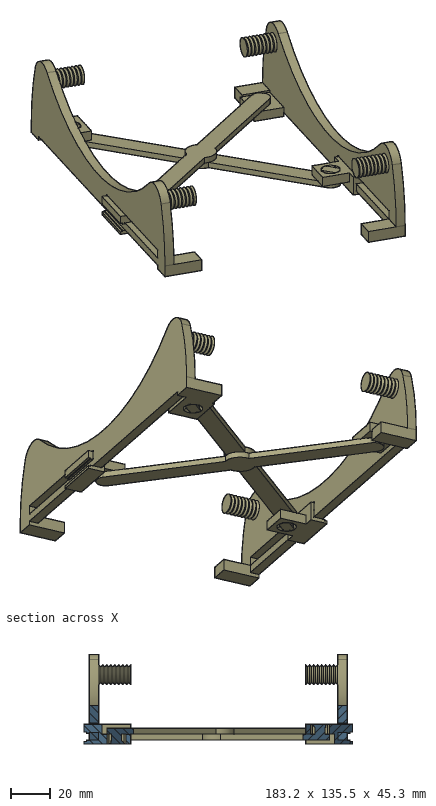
import cadquery as cq
import math


LENGTH = 183.2
WIDTH = 135.5
HALF_LENGTH = LENGTH / 2

PLATE_THICKNESS = 5.0
CORNER_RADIUS = 10.3
CORNER_X = 76.6
CORNER_Z = 35.0
VALLEY_Z = 16.9
FOOT_WIDTH = 10.0
FOOT_HEIGHT = 6.0
FOOT_DEPTH = 15.0
RAIL_BOTTOM = 2.0
RAIL_TOP = FOOT_HEIGHT
SLOT_TOP = 10.6
SLOT_START = 11.5
SLOT_END = HALF_LENGTH - FOOT_WIDTH

POST_RADIUS = 5.04
RIB_COUNT = 8
RIB_PITCH = 2.0
RIB_DEPTH = RIB_PITCH / 2

SLIDER_LENGTH = 25.5
SLIDER_HEIGHT = 10.0
SLIDER_X = SLOT_START + SLIDER_LENGTH / 2
CLIP_DEPTH = 2.5
LIP_DEPTH = 1.3
LIP_HEIGHT = 0.5
CLIP_TOP_HEIGHT = SLIDER_HEIGHT - RAIL_TOP
CLIP_BASE_HEIGHT = 1.5
INNER_FLANGE_THICKNESS = 1.6
SLIDER_BLOCK_WIDTH = 14.8

MID_Z = SLIDER_HEIGHT / 2
BLOCK_HEIGHT = MID_Z
BLOCK_DEPTH = RIB_COUNT * RIB_PITCH
FIXED_BLOCK_WIDTH = 19.5

CLIP_Y = WIDTH / 2
PLATE_OUTER_Y = CLIP_Y - CLIP_DEPTH
PLATE_INNER_Y = PLATE_OUTER_Y - PLATE_THICKNESS
FLANGE_INNER_Y = PLATE_INNER_Y - INNER_FLANGE_THICKNESS
BLOCK_INNER_Y = PLATE_INNER_Y - BLOCK_DEPTH
PIVOT_Y = (FLANGE_INNER_Y + BLOCK_INNER_Y) / 2
FIXED_PIVOT_X = -HALF_LENGTH + FOOT_WIDTH + FIXED_BLOCK_WIDTH / 2

ARM_WIDTH = 10.0
ARM_THICKNESS = 3.02
HUB_DIAMETER = 16.0
PIN_DIAMETER = 5.7
PIN_HOLE_DIAMETER = 6.0
SEAT_DIAMETER = 9.7
SEAT_DEPTH = (SEAT_DIAMETER - PIN_HOLE_DIAMETER) / 2
HEAD_DIAMETER = PIN_DIAMETER + 2 * SEAT_DEPTH


def box(x_range, y_range, z_range):
    """Box between the given pairs of limits."""
    x0, x1 = x_range
    y0, y1 = y_range
    z0, z1 = z_range
    return cq.Workplane("XY").box(x1 - x0, y1 - y0, z1 - z0, centered=False).translate((x0, y0, z0))


def flip_level(body):
    """Turn a body upside down about the mid plane of the arms."""
    return body.mirror("XY", (0, 0, MID_Z))


def to_far_or_near_side(body, side):
    """Bodies are made at +Y; side -1 mirrors them to -Y."""
    return body if side > 0 else body.mirror("XZ")


def flared_stem(diameter, top_diameter):
    """Vertical stem as tall as a block, widening at 45 degrees to its top."""
    stem = cq.Workplane("XY").workplane(offset=MID_Z).circle(diameter / 2).extrude(BLOCK_HEIGHT)
    flare = (
        cq.Workplane("XY")
        .workplane(offset=MID_Z + BLOCK_HEIGHT - SEAT_DEPTH)
        .circle(diameter / 2)
        .workplane(offset=SEAT_DEPTH)
        .circle(top_diameter / 2)
        .loft(ruled=True)
    )
    return stem.union(flare)


def pivot_hole():
    """Countersunk hole with a key slot along Y that lets the flattened pin head through."""
    key_slot = (
        cq.Workplane("XY")
        .workplane(offset=MID_Z)
        .circle(SEAT_DIAMETER / 2)
        .extrude(BLOCK_HEIGHT)
        .intersect(cq.Workplane("XY").box(PIN_HOLE_DIAMETER, LENGTH, LENGTH))
    )
    return flared_stem(PIN_HOLE_DIAMETER, SEAT_DIAMETER).union(key_slot)


def pivot_block(center_x, width, outer_y):
    """Block above the mid plane, drilled for a pivot pin."""
    block = box(
        (center_x - width / 2, center_x + width / 2),
        (BLOCK_INNER_Y, outer_y),
        (MID_Z, MID_Z + BLOCK_HEIGHT),
    )
    return block.cut(pivot_hole().translate((center_x, PIVOT_Y, 0)))


def plate_outline():
    """Closed XZ outline: vertical ends, bowed shoulders, round corners and a tangent valley arc."""
    drop = CORNER_Z - VALLEY_Z
    valley_radius = (CORNER_X**2 + drop**2 - CORNER_RADIUS**2) / (2 * (CORNER_RADIUS + drop))
    valley_center_z = VALLEY_Z + valley_radius

    inset = HALF_LENGTH - CORNER_X
    rise = CORNER_Z - FOOT_HEIGHT
    shoulder_radius = (inset**2 + rise**2 - CORNER_RADIUS**2) / (2 * (inset - CORNER_RADIUS))
    shoulder_center_x = HALF_LENGTH - shoulder_radius

    shoulder_angle = math.atan2(rise, CORNER_X - shoulder_center_x)
    valley_angle = math.atan2(valley_center_z - CORNER_Z, -CORNER_X)

    def corner_point(angle):
        return (
            CORNER_X + CORNER_RADIUS * math.cos(angle),
            CORNER_Z + CORNER_RADIUS * math.sin(angle),
        )

    def opposite(point):
        return (-point[0], point[1])

    shoulder_mid = (
        shoulder_center_x + shoulder_radius * math.cos(shoulder_angle / 2),
        FOOT_HEIGHT + shoulder_radius * math.sin(shoulder_angle / 2),
    )
    shoulder_end = corner_point(shoulder_angle)
    corner_mid = corner_point((shoulder_angle + valley_angle) / 2)
    corner_end = corner_point(valley_angle)

    return (
        cq.Workplane("XZ", origin=(0, PLATE_OUTER_Y, 0))
        .moveTo(-HALF_LENGTH, 0)
        .lineTo(HALF_LENGTH, 0)
        .lineTo(HALF_LENGTH, FOOT_HEIGHT)
        .threePointArc(shoulder_mid, shoulder_end)
        .threePointArc(corner_mid, corner_end)
        .threePointArc((0, VALLEY_Z), opposite(corner_end))
        .threePointArc(opposite(corner_mid), opposite(shoulder_end))
        .threePointArc(opposite(shoulder_mid), (-HALF_LENGTH, FOOT_HEIGHT))
        .close()
    )


def ribbed_post(center_x):
    """Post standing inward from the plate, with V-shaped grooves between its ribs."""
    profile = [(0, 0), (POST_RADIUS, 0)]
    for rib in range(RIB_COUNT):
        profile.append((POST_RADIUS - RIB_DEPTH, (rib + 0.5) * RIB_PITCH))
        profile.append((POST_RADIUS, (rib + 1) * RIB_PITCH))
    profile.append((0, RIB_COUNT * RIB_PITCH))
    post = cq.Workplane("XY").polyline(profile).close().revolve(360, (0, 0, 0), (0, 1, 0))
    return post.mirror("XZ").translate((center_x, PLATE_INNER_Y, CORNER_Z))


def side_plate(side):
    """Plate with slot, feet, posts and its fixed pivot block."""
    across = (PLATE_INNER_Y, PLATE_OUTER_Y)
    plate = plate_outline().extrude(PLATE_THICKNESS)
    plate = plate.cut(box((-SLOT_END, SLOT_END), across, (0, RAIL_BOTTOM)))
    plate = plate.cut(box((SLOT_START, SLOT_END), across, (RAIL_TOP, SLOT_TOP)))

    for foot_x in (-HALF_LENGTH, HALF_LENGTH - FOOT_WIDTH):
        foot = box(
            (foot_x, foot_x + FOOT_WIDTH),
            (PLATE_INNER_Y - FOOT_DEPTH, PLATE_INNER_Y),
            (0, FOOT_HEIGHT),
        )
        plate = plate.union(foot)

    for post_x in (-CORNER_X, CORNER_X):
        plate = plate.union(ribbed_post(post_x))

    block = pivot_block(FIXED_PIVOT_X, FIXED_BLOCK_WIDTH, PLATE_INNER_Y)
    if side > 0:
        block = flip_level(block)
    return to_far_or_near_side(plate.union(block), side)


def slider(side):
    """Slider wrapped round the plate's rail, with a pivot block on its inner flange."""
    along = (SLOT_START, SLOT_START + SLIDER_LENGTH)
    upper_bar = box(along, (FLANGE_INNER_Y, CLIP_Y), (SLIDER_HEIGHT - CLIP_TOP_HEIGHT, SLIDER_HEIGHT))
    lower_bar = box(along, (FLANGE_INNER_Y, PLATE_OUTER_Y), (0, RAIL_BOTTOM))
    lower_clip = box(along, (PLATE_OUTER_Y, CLIP_Y), (0, CLIP_BASE_HEIGHT))
    inner_flange = box(along, (FLANGE_INNER_Y, PLATE_INNER_Y), (0, SLIDER_HEIGHT))
    body = upper_bar.union(lower_bar).union(lower_clip).union(inner_flange)

    for lip_bottom in (RAIL_TOP - LIP_HEIGHT, CLIP_BASE_HEIGHT):
        lip = box(
            along,
            (PLATE_OUTER_Y, PLATE_OUTER_Y + LIP_DEPTH),
            (lip_bottom, lip_bottom + LIP_HEIGHT),
        )
        body = body.union(lip)

    block = pivot_block(SLIDER_X, SLIDER_BLOCK_WIDTH, FLANGE_INNER_Y)
    if side < 0:
        block = flip_level(block)
    return to_far_or_near_side(body.union(block), side)


def lower_arm():
    """Arm below the mid plane with a central hub and a flattened pivot pin rising at each end."""
    run = SLIDER_X - FIXED_PIVOT_X
    span = 2 * PIVOT_Y
    pivot_distance = math.hypot(run, span)
    base = cq.Workplane("XY").workplane(offset=MID_Z - ARM_THICKNESS)
    bar = base.slot2D(pivot_distance + ARM_WIDTH, ARM_WIDTH).extrude(ARM_THICKNESS)
    hub = base.circle(HUB_DIAMETER / 2).extrude(ARM_THICKNESS)
    arm = bar.union(hub)

    pin = flared_stem(PIN_DIAMETER, HEAD_DIAMETER)
    pin = pin.intersect(cq.Workplane("XY").box(LENGTH, PIN_DIAMETER, LENGTH))
    for pin_x in (-pivot_distance / 2, pivot_distance / 2):
        arm = arm.union(pin.translate((pin_x, 0, 0)))

    tilt = math.degrees(math.atan2(span, run))
    hub_x = (SLIDER_X + FIXED_PIVOT_X) / 2
    return arm.rotate((0, 0, 0), (0, 0, 1), tilt).translate((hub_x, 0, 0))


def upper_arm():
    """Lower arm turned over about the lengthwise axis at mid height."""
    return lower_arm().rotate((0, 0, MID_Z), (1, 0, MID_Z), 180)


SIDES = (1, -1)
plates = [side_plate(side) for side in SIDES]
sliders = [slider(side) for side in SIDES]
arms = [lower_arm(), upper_arm()]

result = cq.Compound.makeCompound([body.val() for body in plates + sliders + arms])